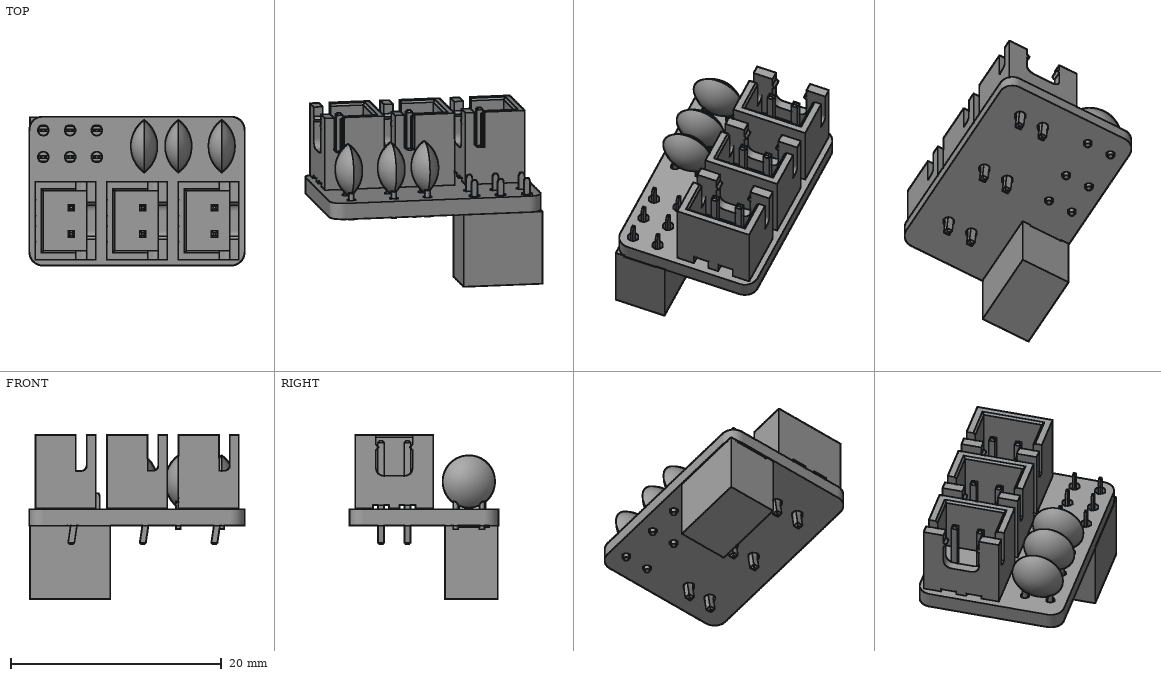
import cadquery as cq


board_length = 20.47
board_width = 14.17
board_thickness = 1.55
board_corner_radius = 1.3

socket_length = 7.64
socket_width = 5.04
socket_height = 7.0
socket_inset = 0.06
socket_channel_width = 3.35
socket_channel_depth = 0.16
socket_pin_pitch = 2.54
socket_pin_columns = 3
socket_pin_rows = 2
socket_pin_width = 0.6
socket_pin_thickness = 0.2
socket_pin_rise = 1.51
socket_pin_tip_width = 0.29
socket_pin_tip_height = 0.4
socket_shoulder_width = 1.1
socket_hole_diameter = 1.0

capacitor_x_positions = (10.91, 14.17, 18.28)
capacitor_back_inset = 2.82
disc_radius = 2.5
disc_half_thickness = 1.27
disc_clearance = 0.12
lead_diameter = 0.5
lead_pitch = 2.5
lead_protrusion = 0.35
lead_hole_diameter = 0.8

connector_count = 3
connector_x = 0.57
connector_y = 0.55
connector_pitch = 6.8
connector_length = 5.75
connector_width = 7.4
connector_height = 6.95
connector_gap = 0.08
left_wall = 0.75
right_wall = 0.88
side_wall = 0.85
lip_chamfer = 0.2
floor_thickness = 1.5

slot_width = 1.0
slot_depth = 3.4
slot_fillet = slot_width / 2
window_width = 3.5
window_depth = 3.89
window_fillet = 0.8
ridge_height = 0.27
ridge_drop = 1.17
notch_width = 1.5
notch_mouth_height = 0.96
notch_low_height = 0.29
notch_ramp_length = 2.87

pin_size = 0.6
pin_pitch = 2.5
pin_x = 3.42
pin_top_drop = 0.55
pin_tip_size = 0.25
pin_tip_height = 0.18
pin_protrusion = 1.8
pin_kink = 0.25
pin_hole_diameter = 1.05

board_top = board_thickness
connector_bottom = board_top + connector_gap
connector_top = connector_bottom + connector_height
connector_xs = [connector_x + i * connector_pitch for i in range(connector_count)]
connector_pin_ys = [connector_y + connector_width / 2 + side * pin_pitch / 2 for side in (-1, 1)]

socket_center_x = socket_inset + socket_length / 2
socket_center_y = board_width - socket_inset - socket_width / 2
socket_pin_points = [
    (
        socket_center_x + (column - (socket_pin_columns - 1) / 2) * socket_pin_pitch,
        socket_center_y + (row - (socket_pin_rows - 1) / 2) * socket_pin_pitch,
    )
    for column in range(socket_pin_columns)
    for row in range(socket_pin_rows)
]

capacitor_y = board_width - capacitor_back_inset
disc_center_z = board_top + disc_clearance + disc_radius
lead_ys = [capacitor_y + side * lead_pitch / 2 for side in (-1, 1)]


def box(x, y, z, length, width, height):
    """Box whose lowest corner is at (x, y, z)."""
    return cq.Workplane("XY").box(length, width, height, centered=False).translate((x, y, z))


def drill_board(board, points, diameter):
    """Drill vertical holes right through the board."""
    holes = cq.Workplane("XY").pushPoints(points).circle(diameter / 2).extrude(board_thickness)
    return board.cut(holes)


def make_board():
    board = box(0, 0, 0, board_length, board_width, board_thickness)
    board = board.edges("|Z").fillet(board_corner_radius)
    board = drill_board(board, socket_pin_points, socket_hole_diameter)
    lead_points = [(x, y) for x in capacitor_x_positions for y in lead_ys]
    board = drill_board(board, lead_points, lead_hole_diameter)
    hole_offset = pin_x + pin_kink / 2
    pin_points = [(x + hole_offset, y) for x in connector_xs for y in connector_pin_ys]
    return drill_board(board, pin_points, pin_hole_diameter)


def make_socket_pin(x, y):
    """Flat pin with a wide shoulder below the board and a rounded tip above it."""
    half_shoulder = socket_shoulder_width / 2
    half_width = socket_pin_width / 2
    half_tip = socket_pin_tip_width / 2
    tip = board_top + socket_pin_rise
    rounding_start = tip - socket_pin_tip_height
    narrowing = half_width - half_tip
    tip_radius = (narrowing**2 + socket_pin_tip_height**2) / (2 * narrowing)
    pin = (
        cq.Workplane("XZ")
        .moveTo(-half_shoulder, -socket_channel_depth)
        .lineTo(half_shoulder, -socket_channel_depth)
        .lineTo(half_shoulder, 0)
        .lineTo(half_width, 0)
        .lineTo(half_width, rounding_start)
        .radiusArc((half_tip, tip), -tip_radius)
        .lineTo(-half_tip, tip)
        .radiusArc((-half_width, rounding_start), -tip_radius)
        .lineTo(-half_width, 0)
        .lineTo(-half_shoulder, 0)
        .close()
        .extrude(socket_pin_thickness / 2, both=True)
    )
    return pin.translate((x, y, 0))


def make_socket():
    socket_y = socket_center_y - socket_width / 2
    socket = box(socket_inset, socket_y, -socket_height, socket_length, socket_width, socket_height)
    channel = box(
        socket_inset,
        socket_center_y - socket_channel_width / 2,
        -socket_channel_depth,
        socket_length,
        socket_channel_width,
        socket_channel_depth,
    )
    socket = socket.cut(channel)
    for x, y in socket_pin_points:
        socket = socket.union(make_socket_pin(x, y))
    return socket


def make_capacitor(x):
    """Lens shaped disc standing on edge, with two round leads through the board."""
    sphere_radius = (disc_radius**2 + disc_half_thickness**2) / (2 * disc_half_thickness)
    lens = (
        cq.Workplane("XY")
        .moveTo(-disc_half_thickness, 0)
        .radiusArc((0, disc_radius), sphere_radius)
        .radiusArc((disc_half_thickness, 0), sphere_radius)
        .close()
        .revolve(360, (0, 0, 0), (1, 0, 0))
        .translate((x, capacitor_y, disc_center_z))
    )
    lead_top = disc_center_z - disc_radius / 2
    leads = (
        cq.Workplane("XY", origin=(0, 0, -lead_protrusion))
        .pushPoints([(x, y) for y in lead_ys])
        .circle(lead_diameter / 2)
        .extrude(lead_top + lead_protrusion)
    )
    return lens.union(leads)


def cut_cavity(body):
    """Open the body from above, with a chamfered lip on every wall but the right one."""
    length = connector_length - left_wall - right_wall
    width = connector_width - 2 * side_wall
    cavity = box(left_wall, side_wall, floor_thickness, length, width, connector_height - floor_thickness)
    lip_center = (left_wall + length / 2, connector_width / 2, connector_height - lip_chamfer)
    lip = (
        cq.Workplane("XY", origin=lip_center)
        .rect(length, width)
        .workplane(offset=lip_chamfer)
        .center(-lip_chamfer / 2, 0)
        .rect(length + lip_chamfer, width + 2 * lip_chamfer)
        .loft(ruled=True)
    )
    return body.cut(cavity).cut(lip)


def cut_side_slots(body):
    """Slots through both side walls, next to the right wall and rounded on that side."""
    slot_x = connector_length - right_wall - slot_width
    slot = box(slot_x, 0, connector_height - slot_depth, slot_width, connector_width, slot_depth)
    slot = slot.edges("|Y and >X and <Z").fillet(slot_fillet)
    return body.cut(slot)


def cut_window(body):
    """Round cornered opening in the right wall, with a latching ridge on each post."""
    wall_x = connector_length - right_wall
    window_y = (connector_width - window_width) / 2
    window = box(wall_x, window_y, connector_height - window_depth, right_wall, window_width, window_depth)
    body = body.cut(window.edges("|X and <Z").fillet(window_fillet))
    ridge_z = connector_height - ridge_drop
    for post_y, inward in ((window_y, 1), (window_y + window_width, -1)):
        ridge = (
            cq.Workplane("YZ", origin=(wall_x, 0, 0))
            .moveTo(post_y, ridge_z - ridge_height)
            .lineTo(post_y + inward * ridge_height, ridge_z)
            .lineTo(post_y, ridge_z + ridge_height)
            .close()
            .extrude(right_wall)
        )
        body = body.union(ridge)
    return body


def cut_pin_notches(body):
    """Grooves under the body, one per pin, with a ceiling that ramps up to the left."""
    for side in (-1, 1):
        groove = (
            cq.Workplane("XZ")
            .moveTo(0, 0)
            .lineTo(connector_length, 0)
            .lineTo(connector_length, notch_low_height)
            .lineTo(notch_ramp_length, notch_low_height)
            .lineTo(0, notch_mouth_height)
            .close()
            .extrude(notch_width / 2, both=True)
            .translate((0, connector_width / 2 + side * pin_pitch / 2, 0))
        )
        body = body.cut(groove)
    return body


def pin_tip(z, height):
    """Pyramid frustum that narrows from the pin's section; a negative height points down."""
    return (
        cq.Workplane("XY", origin=(0, 0, z))
        .rect(pin_size, pin_size)
        .workplane(offset=height)
        .rect(pin_tip_size, pin_tip_size)
        .loft(ruled=True)
    )


def make_connector_pin():
    """Square pin on the Z axis, bent sideways in the board and back again below it."""
    half = pin_size / 2
    top = connector_top - pin_top_drop - pin_tip_height
    bottom = -pin_protrusion + pin_tip_height
    shank = (
        cq.Workplane("XZ")
        .moveTo(-half, top)
        .lineTo(half, top)
        .lineTo(half, board_top)
        .lineTo(half + pin_kink, 0)
        .lineTo(half, bottom)
        .lineTo(-half, bottom)
        .lineTo(-half + pin_kink, 0)
        .lineTo(-half, board_top)
        .close()
        .extrude(half, both=True)
    )
    return shank.union(pin_tip(top, pin_tip_height)).union(pin_tip(bottom, -pin_tip_height))


def make_connector(x):
    body = box(0, 0, 0, connector_length, connector_width, connector_height)
    body = cut_cavity(body)
    body = cut_side_slots(body)
    body = cut_window(body)
    body = cut_pin_notches(body)
    connector = body.translate((x, connector_y, connector_bottom))
    for y in connector_pin_ys:
        connector = connector.union(make_connector_pin().translate((x + pin_x, y, 0)))
    return connector


board = make_board()
socket = make_socket()
capacitors = [make_capacitor(x) for x in capacitor_x_positions]
connectors = [make_connector(x) for x in connector_xs]

result = cq.Compound.makeCompound(
    [
        board.val(),
        socket.val(),
        *[capacitor.val() for capacitor in capacitors],
        *[connector.val() for connector in connectors],
    ]
)